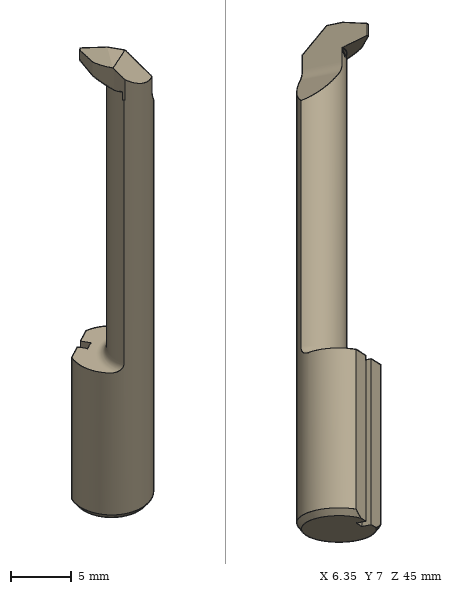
import cadquery as cq
import math

length = 45.0
shank_radius = 3.5
shank_length = 14.75
flat_x = -2.85
groove_width = 0.9
groove_floor_x = -1.95
end_chamfer_height = 0.55
end_chamfer_depth = 0.4

neck_radius = 3.0
neck_axis_x = 2.7
neck_fillet = 0.8

rake_y = 0.0
runout_top_z = 40.85
runout_angle = 49.0
runout_fillet = 1.57

tip_x = -2.7
tip_land = 0.25
tip_top_z = 44.45
tip_bottom_z = 43.35
head_bottom_z = 42.75
underside_cross_slope = 0.067
head_root_x = neck_axis_x - neck_radius
flank_end = (-1.05, -2.0)
flank_arc_mid = (0.0, -2.5)
front_flat_start_x = 1.1
front_flat_y = -2.9
front_flat_bottom_z = 41.98
top_ridge_x = -0.35
back_ridge_x = 1.15
back_ridge_shift = 0.2
back_bevel_drop = 2.2

facet_direction = 20.0
facet_depth = 0.215
facet_height = 0.8

cutter_size = 18.0


def subtract(a, b):
    return tuple(p - q for p, q in zip(a, b))


def half_space(a, b, c):
    """Large block on the side of plane abc from which a, b, c run counterclockwise."""
    u = subtract(b, a)
    v = subtract(c, a)
    normal = (
        u[1] * v[2] - u[2] * v[1],
        u[2] * v[0] - u[0] * v[2],
        u[0] * v[1] - u[1] * v[0],
    )
    plane = cq.Plane(origin=a, xDir=u, normal=normal)
    return cq.Workplane(plane).rect(cutter_size, cutter_size).extrude(cutter_size)


def make_shank():
    chamfer_start = shank_radius - end_chamfer_depth
    profile = [
        (0, 0),
        (chamfer_start, 0),
        (shank_radius, end_chamfer_height),
        (shank_radius, shank_length),
        (0, shank_length),
    ]
    shank = cq.Workplane("XZ").polyline(profile).close().revolve(360, (0, 0), (0, 1))
    flat = cq.Workplane("XY").box(cutter_size, cutter_size, length, centered=(False, True, False))
    flat = flat.translate((flat_x - cutter_size, 0, 0))
    groove = cq.Workplane("XY").box(cutter_size, groove_width, length, centered=(False, True, False))
    groove = groove.translate((groove_floor_x - cutter_size, 0, 0))
    return shank.cut(flat).cut(groove)


def make_neck():
    """Neck with a concave flare at its root, trimmed to the shank cylinder."""
    flare_radius = neck_radius + neck_fillet
    flare_top = shank_length + neck_fillet
    diagonal = neck_fillet * math.sqrt(0.5)
    neck = (
        cq.Workplane("XZ", origin=(neck_axis_x, 0, 0))
        .moveTo(0, shank_length)
        .lineTo(flare_radius, shank_length)
        .threePointArc((flare_radius - diagonal, flare_top - diagonal), (neck_radius, flare_top))
        .lineTo(neck_radius, length)
        .lineTo(0, length)
        .close()
        .revolve(360, (0, 0), (0, 1))
    )
    return neck.intersect(cq.Workplane("XY").circle(shank_radius).extrude(length))


def make_runout():
    """Volume removed behind the rake face, with a rounded inner corner."""
    reach = cutter_size / 2
    drop = reach * math.tan(math.radians(runout_angle))
    profile = [
        (rake_y, length),
        (rake_y, runout_top_z),
        (rake_y + reach, runout_top_z - drop),
        (rake_y + reach, length),
    ]
    runout = cq.Workplane("YZ").polyline(profile).close().extrude(shank_radius * 2, both=True)
    corner = cq.selectors.NearestToPointSelector((0, rake_y, runout_top_z))
    return runout.edges("|X").edges(corner).fillet(runout_fillet)


def make_facet_cutter():
    angle = math.radians(facet_direction)
    out = (-math.cos(angle), -math.sin(angle))
    side = (-out[1], out[0])

    def point(radius, z, shift):
        return (
            neck_axis_x + radius * out[0] + shift * side[0],
            radius * out[1] + shift * side[1],
            z,
        )

    cutter = half_space(
        point(neck_radius, head_bottom_z - facet_height, 0),
        point(neck_radius, head_bottom_z - facet_height, 0.45),
        point(neck_radius - facet_depth, head_bottom_z, 0),
    )
    below_head = cq.Workplane("XY").rect(cutter_size, cutter_size).extrude(head_bottom_z)
    return cutter.intersect(below_head)


def make_head():
    blank = (
        cq.Workplane("XY", origin=(0, 0, head_bottom_z))
        .moveTo(tip_x, rake_y)
        .lineTo(tip_x, -tip_land)
        .lineTo(*flank_end)
        .threePointArc(flank_arc_mid, (front_flat_start_x, front_flat_y))
        .lineTo(shank_radius, front_flat_y)
        .lineTo(shank_radius, rake_y)
        .close()
        .extrude(length - head_bottom_z)
    )
    blank = blank.intersect(cq.Workplane("XY").circle(shank_radius).extrude(length))
    underside = half_space(
        (tip_x, 0, tip_bottom_z),
        (tip_x, 0.45, tip_bottom_z - underside_cross_slope),
        (head_root_x, 0, head_bottom_z),
    )
    return blank.cut(underside)


def make_front_flat():
    block = cq.Workplane("XY").box(cutter_size, cutter_size, length, centered=(True, False, False))
    return block.translate((0, front_flat_y - cutter_size, front_flat_bottom_z))


def make_top_bevels():
    """Clearance bevels from the top land down to the tip and to the +X side."""
    front_ridge_x = back_ridge_x - back_ridge_shift
    tip_bevel = half_space(
        (tip_x, rake_y, tip_top_z),
        (front_ridge_x, front_flat_y, length),
        (top_ridge_x, rake_y, length),
    )
    back_bevel = half_space(
        (back_ridge_x, rake_y, length),
        (front_ridge_x, front_flat_y, length),
        (shank_radius, rake_y, length - back_bevel_drop),
    )
    return tip_bevel.union(back_bevel)


neck = make_neck().cut(make_runout()).cut(make_front_flat()).cut(make_facet_cutter())
tool = neck.union(make_head()).cut(make_top_bevels())
result = make_shank().union(tool)